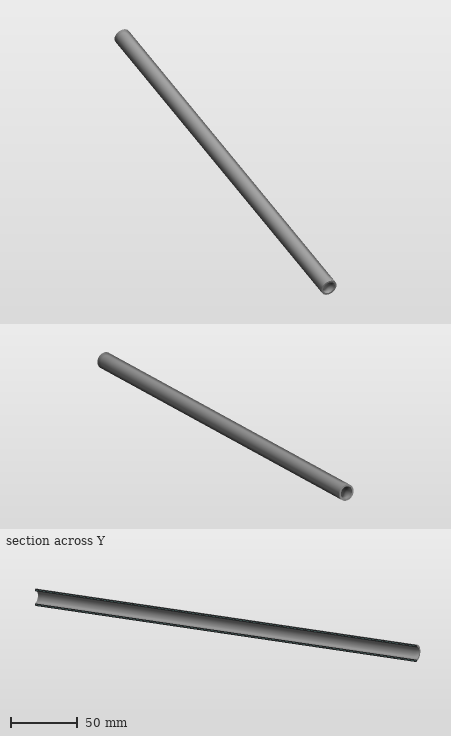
import cadquery as cq

tube_length = 325.0
outer_diameter = 13.0
wall_thickness = 1.5
inner_diameter = outer_diameter - 2 * wall_thickness

result = (
    cq.Workplane("YZ", origin=(-tube_length / 2, 0, 0))
    .circle(outer_diameter / 2)
    .circle(inner_diameter / 2)
    .extrude(tube_length)
)